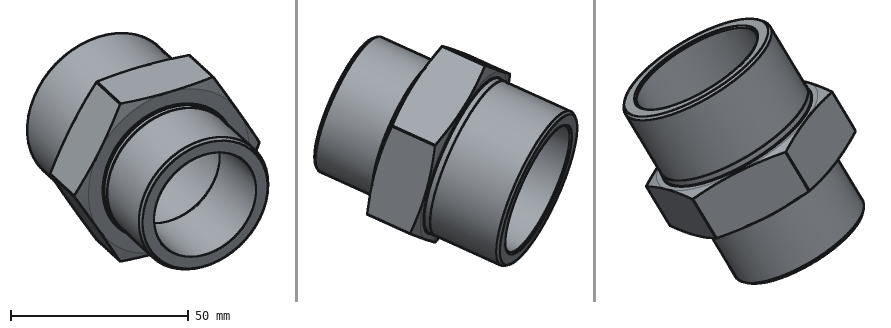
import cadquery as cq
import math

length = 61.0
hex_start = 24.0
hex_end = 40.0

across_flats = 52.05
across_corners = 59.95
hex_chamfer_angle = 16.0

large_thread_diameter = 47.8
large_collar_diameter = 48.0
large_collar_length = 2.0
large_root_flare = 0.2
large_chamfer_length = 0.85
large_chamfer_depth = 0.7

small_thread_diameter = 41.9
small_collar_diameter = 42.1
small_collar_length = 1.95
small_root_flare = 0.35
small_chamfer_length = 0.85
small_chamfer_depth = 0.75

large_bore_diameter = 39.0
small_bore_diameter = 33.0
bore_chamfer = 0.5
bore_taper_angle = 45.0


def revolve_about_x(points):
    """Revolve a closed (x, radius) outline about the X axis."""
    return cq.Workplane("XY").polyline(points).close().revolve(360, (0, 0, 0), (1, 0, 0))


def spigot(end, root, thread_diameter, collar_diameter, collar_length, flare, chamfer_length, chamfer_depth):
    """Solid spigot with a chamfered end, a collar and a flared root on the hexagon."""
    inward = math.copysign(1, root - end)
    thread_radius = thread_diameter / 2
    collar_radius = collar_diameter / 2
    collar_start = root - inward * collar_length
    return revolve_about_x([
        (end, 0),
        (end, thread_radius - chamfer_depth),
        (end + inward * chamfer_length, thread_radius),
        (collar_start, thread_radius),
        (collar_start, collar_radius),
        (root - inward * flare, collar_radius),
        (root, collar_radius + flare),
        (root, 0),
    ])


def hexagon():
    """Hexagon with flats facing +Z and -Z, trimmed to a double-chamfered round blank."""
    prism = (
        cq.Workplane("YZ", origin=(hex_start, 0, 0))
        .polygon(6, across_flats, circumscribed=True)
        .extrude(hex_end - hex_start)
        .rotate((0, 0, 0), (1, 0, 0), 30)
    )
    face_radius = across_flats / 2
    corner_radius = across_corners / 2
    chamfer_depth = (corner_radius - face_radius) * math.tan(math.radians(hex_chamfer_angle))
    blank = revolve_about_x([
        (hex_start, 0),
        (hex_start, face_radius),
        (hex_start + chamfer_depth, corner_radius),
        (hex_end - chamfer_depth, corner_radius),
        (hex_end, face_radius),
        (hex_end, 0),
    ])
    return prism.intersect(blank)


def bore():
    """Through bore: chamfered large end, taper, then the small bore to the far end."""
    large_radius = large_bore_diameter / 2
    small_radius = small_bore_diameter / 2
    taper_length = (large_radius - small_radius) / math.tan(math.radians(bore_taper_angle))
    return revolve_about_x([
        (0, 0),
        (0, large_radius + bore_chamfer),
        (bore_chamfer, large_radius),
        (hex_end - taper_length, large_radius),
        (hex_end, small_radius),
        (length, small_radius),
        (length, 0),
    ])


large_spigot = spigot(
    0, hex_start,
    large_thread_diameter, large_collar_diameter, large_collar_length, large_root_flare,
    large_chamfer_length, large_chamfer_depth,
)
small_spigot = spigot(
    length, hex_end,
    small_thread_diameter, small_collar_diameter, small_collar_length, small_root_flare,
    small_chamfer_length, small_chamfer_depth,
)

result = hexagon().union(large_spigot).union(small_spigot).cut(bore())